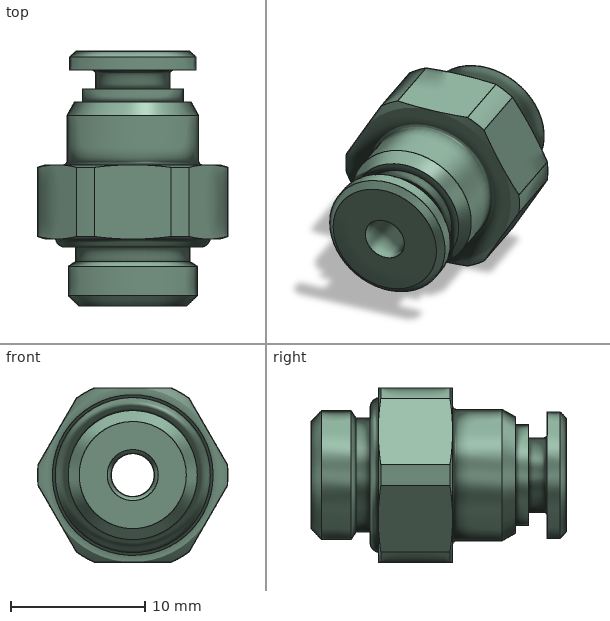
import cadquery as cq
import math

length = 19.0

bore_radius = 1.6
bore_chamfer = 0.3

thread_radius = 4.8
thread_tip_radius = 3.99
thread_tip_length = 0.78
thread_end = 2.96
relief_start = 3.32
relief_radius = 4.25

hex_start = 5.0
hex_end = 10.53
hex_across_flats = 13.0
hex_corner_radius = 7.096
hex_chamfer_length = 0.19

ring_section_radius = 0.76
ring_front = 4.39
ring_mean_radius = relief_radius + ring_section_radius
ring_centre = ring_front + ring_section_radius
groove_radius = 5.98
groove_bottom = ring_centre + ring_section_radius

sleeve_radius = 4.9
sleeve_fillet = 0.28
sleeve_chamfer_start = 14.2
sleeve_end = 15.22
sleeve_end_radius = 4.33

collar_radius = 3.76
collar_end = 16.19
neck_radius = 2.77
neck_fillet = 0.27
flange_start = 17.58
flange_radius = 4.71
flange_chamfer_start = 18.55
flange_end_radius = 4.22

ARC_MIDDLE = 1 - math.sqrt(0.5)


def revolve_about_y(profile):
    return profile.close().revolve(360, (0, 0, 0), (0, 1, 0))


def make_threaded_end():
    profile = (
        cq.Workplane("XY")
        .lineTo(thread_tip_radius, 0)
        .lineTo(thread_radius, thread_tip_length)
        .lineTo(thread_radius, thread_end)
        .lineTo(relief_radius, relief_start)
        .lineTo(relief_radius, groove_bottom)
        .lineTo(0, groove_bottom)
    )
    return revolve_about_y(profile)


def make_hexagon():
    corner_distance = hex_across_flats / math.cos(math.pi / 6)
    prism = (
        cq.Workplane("XZ", origin=(0, hex_start, 0))
        .polygon(6, corner_distance)
        .extrude(hex_start - hex_end)
    )
    chamfer_radius = hex_across_flats / 2
    envelope = (
        cq.Workplane("XY")
        .moveTo(0, hex_start)
        .lineTo(chamfer_radius, hex_start)
        .lineTo(hex_corner_radius, hex_start + hex_chamfer_length)
        .lineTo(hex_corner_radius, hex_end - hex_chamfer_length)
        .lineTo(chamfer_radius, hex_end)
        .lineTo(0, hex_end)
    )
    return prism.intersect(revolve_about_y(envelope))


def make_ring_groove():
    profile = (
        cq.Workplane("XY")
        .moveTo(relief_radius, hex_start)
        .lineTo(groove_radius, hex_start)
        .lineTo(groove_radius, groove_bottom)
        .lineTo(relief_radius, groove_bottom)
    )
    return revolve_about_y(profile)


def make_sleeve_and_flange():
    profile = (
        cq.Workplane("XY")
        .moveTo(0, hex_end)
        .lineTo(sleeve_radius + sleeve_fillet, hex_end)
        .threePointArc(
            (sleeve_radius + sleeve_fillet * ARC_MIDDLE, hex_end + sleeve_fillet * ARC_MIDDLE),
            (sleeve_radius, hex_end + sleeve_fillet),
        )
        .lineTo(sleeve_radius, sleeve_chamfer_start)
        .lineTo(sleeve_end_radius, sleeve_end)
        .lineTo(collar_radius, sleeve_end)
        .lineTo(collar_radius, collar_end)
        .lineTo(neck_radius, collar_end)
        .lineTo(neck_radius, flange_start - neck_fillet)
        .threePointArc(
            (neck_radius + neck_fillet * ARC_MIDDLE, flange_start - neck_fillet * ARC_MIDDLE),
            (neck_radius + neck_fillet, flange_start),
        )
        .lineTo(flange_radius, flange_start)
        .lineTo(flange_radius, flange_chamfer_start)
        .lineTo(flange_end_radius, length)
        .lineTo(0, length)
    )
    return revolve_about_y(profile)


def make_bore():
    profile = (
        cq.Workplane("XY")
        .lineTo(bore_radius + bore_chamfer, 0)
        .lineTo(bore_radius, bore_chamfer)
        .lineTo(bore_radius, length)
        .lineTo(0, length)
    )
    return revolve_about_y(profile)


def make_fitting_body():
    return (
        make_hexagon()
        .cut(make_ring_groove())
        .union(make_threaded_end())
        .union(make_sleeve_and_flange())
        .cut(make_bore())
    )


def make_sealing_ring():
    return (
        cq.Workplane("XY")
        .center(ring_mean_radius, ring_centre)
        .circle(ring_section_radius)
        .revolve(360, (-ring_mean_radius, 0, 0), (-ring_mean_radius, 1, 0))
    )


fitting_body = make_fitting_body()
sealing_ring = make_sealing_ring()
result = cq.Compound.makeCompound([fitting_body.val(), sealing_ring.val()])